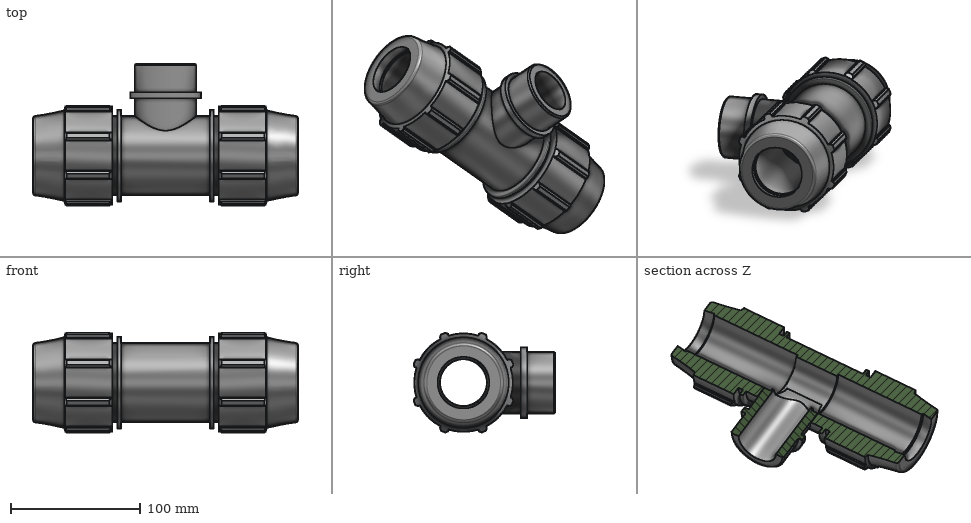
import cadquery as cq
import math

run_length = 205.0
half_length = run_length / 2
run_radius = 30.8

mouth_radius = 40.0 / 2
mouth_mid_radius = 20.5
mouth_back_radius = 21.3
mouth_depth = 8.2
socket_radius = mouth_radius
socket_chamfer = 1.0
stop_radius = 36.0 / 2
stop_half_length = 18.5

nose_tip_radius = 30.5
nose_mid_radius = 32.4
nose_base_radius = 35.0
nose_edge_fillet = 2.3
nut_front_x = 78.3
nut_back_x = 41.0
nut_radius = 38.1
front_face_slope = 0.3

rib_count = 8
rib_top_height = 41.0
rib_top_width = 3.7
rib_width = 6.8
rib_shoulder_drop = 1.6
rib_end_chamfer = 2.7

collar_radius = 71.3 / 2
collar_inner_x = 34.2
collar_outer_x = 37.3
collar_fillet = 0.6

branch_radius = 47.8 / 2
branch_bore_radius = 33.5 / 2
branch_tip_y = 71.1
branch_tip_chamfer = 1.2
flange_radius = 55.0 / 2
flange_near_y = 44.3
flange_far_y = 49.2


def mirrored_pair(shape):
    """The +X shape joined with its mirror image at -X."""
    return shape.union(shape.mirror("YZ"))


def x_cylinder(radius, x_start, x_end):
    return cq.Workplane("YZ", origin=(x_start, 0, 0)).circle(radius).extrude(x_end - x_start)


def y_cylinder(radius, y_start, y_end):
    return cq.Workplane("XZ", origin=(0, y_start, 0)).circle(radius).extrude(y_start - y_end)


def around_x(outline):
    """Revolve an outline of (x, radius) points about the X axis."""
    return outline.close().revolve(360, (0, 0, 0), (1, 0, 0))


def front_face_x(radius):
    """Position of the conical front face of the nut at a given radius."""
    return nut_front_x - (radius - nose_base_radius) * front_face_slope


def run_bore():
    """Bore through the run: a narrow stop, then at each end a socket and a mouth that widens inwards."""
    mouth_back_x = half_length - mouth_depth
    mouth_mid_x = half_length - mouth_depth / 2
    half_bore = around_x(
        cq.Workplane("XY")
        .lineTo(0, stop_radius)
        .lineTo(stop_half_length, stop_radius)
        .lineTo(stop_half_length, socket_radius)
        .lineTo(mouth_back_x - socket_chamfer, socket_radius)
        .lineTo(mouth_back_x, socket_radius + socket_chamfer)
        .lineTo(mouth_back_x, mouth_back_radius)
        .threePointArc((mouth_mid_x, mouth_mid_radius), (half_length, mouth_radius))
        .lineTo(half_length, 0)
    )
    return mirrored_pair(half_bore)


def nut_rib():
    """One rib on top of the nut, rooted inside the barrel, with its back end chamfered."""
    shoulder_height = rib_top_height - rib_shoulder_drop
    bar = (
        cq.Workplane("YZ", origin=(nut_back_x, 0, 0))
        .moveTo(-rib_width / 2, run_radius)
        .lineTo(-rib_width / 2, shoulder_height)
        .lineTo(-rib_top_width / 2, rib_top_height)
        .lineTo(rib_top_width / 2, rib_top_height)
        .lineTo(rib_width / 2, shoulder_height)
        .lineTo(rib_width / 2, run_radius)
        .close()
        .extrude(nut_front_x - nut_back_x)
    )
    return bar.faces(">Z").edges("<X").chamfer(rib_end_chamfer)


def nut():
    """Nut at +X, without its bore."""
    rib_tip_radius = math.hypot(rib_top_height, rib_top_width)
    barrel = x_cylinder(nut_radius, nut_back_x, nut_front_x)
    rib_spacing = 360 / rib_count
    for index in range(rib_count):
        barrel = barrel.union(nut_rib().rotate((0, 0, 0), (1, 0, 0), rib_spacing * (index + 0.5)))
    face_limit = around_x(
        cq.Workplane("XY")
        .moveTo(nut_back_x, 0)
        .lineTo(nut_back_x, rib_tip_radius)
        .lineTo(front_face_x(rib_tip_radius), rib_tip_radius)
        .lineTo(nut_front_x, nose_base_radius)
        .lineTo(nut_front_x, 0)
    )
    nose = around_x(
        cq.Workplane("XY")
        .moveTo(nut_front_x, 0)
        .lineTo(nut_front_x, nose_base_radius)
        .threePointArc(
            ((nut_front_x + half_length) / 2, nose_mid_radius),
            (half_length, nose_tip_radius),
        )
        .lineTo(half_length, 0)
    )
    nose = nose.faces(">X").edges().fillet(nose_edge_fillet)
    return barrel.intersect(face_limit).union(nose)


def collar():
    ring = x_cylinder(collar_radius, collar_inner_x, collar_outer_x)
    return ring.edges().fillet(collar_fillet)


def branch_socket():
    """Hole in the run wall that the branch sits in."""
    return y_cylinder(branch_radius, 0, flange_near_y)


def make_run():
    run = x_cylinder(run_radius, -nut_front_x, nut_front_x)
    run = run.union(mirrored_pair(nut())).union(mirrored_pair(collar()))
    return run.cut(run_bore()).cut(branch_socket())


def make_branch():
    """Flanged stub whose inner end is trimmed flush with the bore of the run."""
    stub = y_cylinder(branch_radius, 0, branch_tip_y)
    stub = stub.faces(">Y").edges().chamfer(branch_tip_chamfer)
    flange = y_cylinder(flange_radius, flange_near_y, flange_far_y)
    passage = y_cylinder(branch_bore_radius, 0, branch_tip_y)
    return stub.union(flange).cut(passage).cut(run_bore())


run = make_run()
branch = make_branch()
result = cq.Compound.makeCompound([*run.solids().vals(), *branch.solids().vals()])